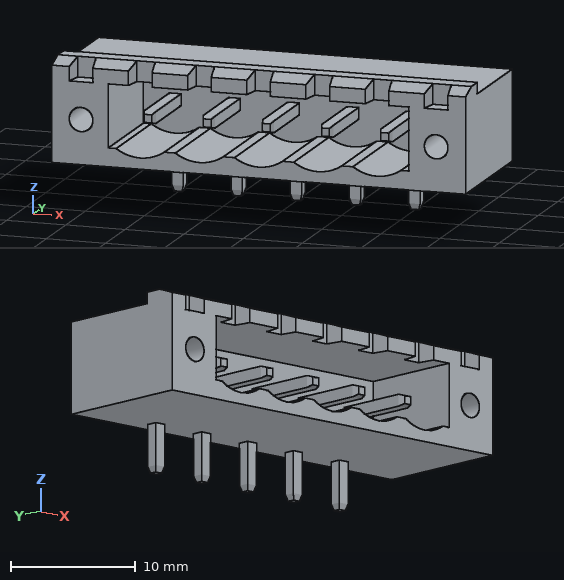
import cadquery as cq


length = 35.0
depth = 12.0
total_height = 12.6
leg_length = 4.02
housing_height = total_height - leg_length

lip_depth = 3.0
lip_height = 0.95
lip_bevel_depth = 1.5
lip_bevel_drop = 0.52

pin_count = 5
pitch = 5.0
pin_width = 0.98
pin_tip_width = 0.65
pin_taper = 0.52
pin_axis_z = 3.75
pin_front_y = 2.0
leg_back_gap = 1.47
leg_center_y = depth - leg_back_gap - pin_width / 2

pocket_width = 25.4
pocket_bottom = 1.58
pocket_top = 6.85
pocket_depth = 9.0
scallop_width = 4.05
scallop_sag = 0.63

notch_front_width = 2.0
notch_back_width = 1.55
notch_depth = lip_bevel_depth

insert_diameter = 4.0
insert_hole_diameter = 2.0
insert_depth = pocket_depth

pin_positions = [(i - (pin_count - 1) / 2) * pitch for i in range(pin_count)]
insert_x = pin_positions[-1] + pitch
insert_positions = [-insert_x, insert_x]


def make_housing():
    """Solid block with the bevelled lip, drawn as a side profile."""
    return (
        cq.Workplane("YZ")
        .moveTo(0, 0)
        .lineTo(depth, 0)
        .lineTo(depth, housing_height - lip_height)
        .lineTo(lip_depth, housing_height - lip_height)
        .lineTo(lip_depth, housing_height)
        .lineTo(lip_bevel_depth, housing_height)
        .lineTo(0, housing_height - lip_bevel_drop)
        .close()
        .extrude(length / 2, both=True)
    )


def make_pocket():
    """Pocket void whose floor dips in an arc below every pin."""
    half_width = pocket_width / 2
    outline = (
        cq.Workplane("XZ")
        .moveTo(-half_width, pocket_top)
        .lineTo(-half_width, pocket_bottom)
    )
    for x in pin_positions:
        outline = outline.lineTo(x - scallop_width / 2, pocket_bottom).threePointArc(
            (x, pocket_bottom - scallop_sag),
            (x + scallop_width / 2, pocket_bottom),
        )
    return (
        outline.lineTo(half_width, pocket_bottom)
        .lineTo(half_width, pocket_top)
        .close()
        .extrude(-pocket_depth)
    )


def make_notch(x):
    """Key notch that narrows from the front face to its back wall."""
    return (
        cq.Workplane("XY", origin=(x, 0, pocket_top))
        .moveTo(-notch_front_width / 2, 0)
        .lineTo(notch_front_width / 2, 0)
        .lineTo(notch_back_width / 2, notch_depth)
        .lineTo(-notch_back_width / 2, notch_depth)
        .close()
        .extrude(housing_height - pocket_top)
    )


def make_bar(plane, bar_length):
    """Square bar with a tapered tip, extruded from the plane of its tip."""
    tip = (
        plane.rect(pin_tip_width, pin_tip_width)
        .workplane(offset=pin_taper)
        .rect(pin_width, pin_width)
        .loft(ruled=True)
    )
    shank = (
        plane.workplane(offset=pin_taper)
        .rect(pin_width, pin_width)
        .extrude(bar_length - pin_taper)
    )
    return tip.union(shank)


def make_pin(x):
    """Right-angle pin: a contact pointing forward and a leg pointing down."""
    contact_plane = cq.Workplane(cq.Plane((x, pin_front_y, pin_axis_z), (1, 0, 0), (0, 1, 0)))
    leg_plane = cq.Workplane("XY", origin=(x, leg_center_y, -leg_length))
    contact = make_bar(contact_plane, leg_center_y + pin_width / 2 - pin_front_y)
    leg = make_bar(leg_plane, leg_length + pin_axis_z + pin_width / 2)
    return contact.union(leg)


def make_insert_cylinder(x, diameter):
    """Cylinder running back from the front face on a screw axis."""
    return (
        cq.Workplane("XZ", origin=(x, 0, pin_axis_z))
        .circle(diameter / 2)
        .extrude(-insert_depth)
    )


result = make_housing().cut(make_pocket())
for x in pin_positions + insert_positions:
    result = result.cut(make_notch(x))
for x in pin_positions:
    result = result.union(make_pin(x))

for x in insert_positions:
    bore = make_insert_cylinder(x, insert_diameter)
    insert = bore.cut(make_insert_cylinder(x, insert_hole_diameter))
    result = result.cut(bore, clean=False).union(insert, clean=False)